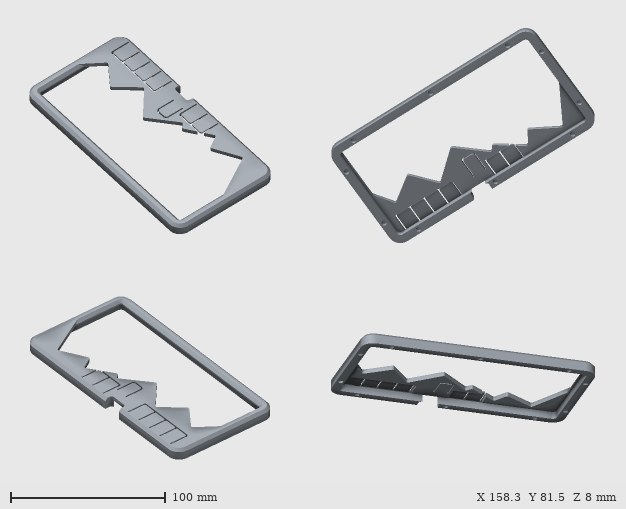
import cadquery as cq

length = 158.3
width = 81.5
height = 8.0
corner_radius = 8.5
chamfer = 2.0

rim_width = 5.0
lip_width = rim_width + chamfer
cavity_wall = 5.65

plate_thickness = 3.0
plate_underside = height - plate_thickness
skyline_radius = 1.2
rim_x = length / 2 - rim_width
skyline_end_y = 0.6
skyline = [
    (-63.2, 16.3),
    (-45.8, 4.0),
    (-31.6, 20.75),
    (-11.65, 3.5),
    (8.3, 20.95),
    (11.5, 17.0),
    (30.3, 30.4),
    (36.5, 20.6),
    (56.3, 32.1),
]

slot_width = 1.0
tab_pitch = 11.0
tab_thickness = 1.0
tab_underside = height - tab_thickness
tab_corner_radius = 1.0
tab_root_y = 38.0
tab_end_y = 24.2
tab_rows = [(-68.75, 4), (1.15, 2)]

single_tab_x = -6.35
single_tab_width = 8.3
single_tab_root_y = 28.7
single_tab_end_y = 15.0
single_tab_radius = 1.7

notch_x = -11.65
notch_width = 14.1
notch_floor_y = width / 2 - cavity_wall
notch_radius = 2.0

hole_diameter = 3.4
hole_depth = 7.0
hole_inset = 3.0
hole_x = 60.2
hole_y = 21.8


def box(x_min, x_max, y_min, y_max, z_min, z_max):
    return (
        cq.Workplane("XY")
        .box(x_max - x_min, y_max - y_min, z_max - z_min, centered=False)
        .translate((x_min, y_min, z_min))
    )


def rounded_block(inset, z_min, z_max):
    """Block inset evenly from the outside of the frame, with concentric corners."""
    half_x = length / 2 - inset
    half_y = width / 2 - inset
    block = box(-half_x, half_x, -half_y, half_y, z_min, z_max)
    return block.edges("|Z").fillet(corner_radius - inset)


def make_frame():
    body = (
        cq.Workplane("XY")
        .box(length, width, height, centered=(True, True, False))
        .edges("|Z")
        .fillet(corner_radius)
        .faces(">Z")
        .chamfer(chamfer)
    )
    window = rounded_block(lip_width, plate_underside, height)
    cavity = rounded_block(cavity_wall, 0, plate_underside)
    rim_slope = (
        cq.Workplane("XY")
        .workplane(offset=height)
        .sketch()
        .rect(length - 2 * rim_width, width - 2 * rim_width)
        .vertices()
        .fillet(corner_radius - rim_width)
        .finalize()
        .extrude(-chamfer, taper=45)
    )
    return body.cut(window).cut(rim_slope).cut(cavity)


def make_plate():
    back_y = width / 2 - rim_width
    outline = [(-rim_x, back_y), (-rim_x, skyline_end_y)] + skyline
    outline += [(rim_x, skyline_end_y), (rim_x, back_y)]
    plate = cq.Workplane("XY").workplane(offset=plate_underside).polyline(outline).close()
    plate = plate.extrude(plate_thickness)
    for x, y in skyline:
        corner = cq.selectors.NearestToPointSelector((x, y, height - plate_thickness / 2))
        plate = plate.edges("|Z").edges(corner).fillet(skyline_radius)
    return plate


def tab_row_cut(first_slot_x, tab_count):
    left = first_slot_x - slot_width / 2
    right = left + tab_count * tab_pitch + slot_width
    front = tab_end_y - slot_width
    outline = box(left, right, front, tab_root_y, plate_underside, height)
    outline = outline.edges("|Z and <Y").fillet(tab_corner_radius + slot_width / 2)
    root_slope = (
        cq.Workplane("YZ")
        .workplane(offset=left)
        .moveTo(tab_root_y, tab_underside)
        .lineTo(tab_root_y, plate_underside)
        .lineTo(tab_root_y - (tab_underside - plate_underside), plate_underside)
        .close()
        .extrude(right - left)
    )
    cut = outline.cut(root_slope)
    for i in range(tab_count):
        tab_left = left + slot_width + i * tab_pitch
        tab_right = tab_left + tab_pitch - slot_width
        tab = box(tab_left, tab_right, tab_end_y, tab_root_y, tab_underside, height)
        cut = cut.cut(tab.edges("|Z and <Y").fillet(tab_corner_radius))
    return cut


def single_tab_slot():
    half = single_tab_width / 2
    left = single_tab_x - half
    right = single_tab_x + half
    tab = box(left, right, single_tab_end_y, single_tab_root_y, plate_underside, height)
    tab = tab.edges("|Z and <Y").fillet(single_tab_radius)
    surround = box(
        left - slot_width,
        right + slot_width,
        single_tab_end_y - slot_width,
        single_tab_root_y,
        plate_underside,
        height,
    )
    surround = surround.edges("|Z and <Y").fillet(single_tab_radius + slot_width)
    return surround.cut(tab)


def notch():
    half = notch_width / 2
    cut = box(notch_x - half, notch_x + half, notch_floor_y, width / 2, 0, height)
    return cut.edges("|Z and <Y").fillet(notch_radius)


def blind_holes():
    edge_x = length / 2 - hole_inset
    edge_y = width / 2 - hole_inset
    centres = [(x, y) for x in (-hole_x, 0, hole_x) for y in (-edge_y, edge_y)]
    centres += [(x, y) for x in (-edge_x, edge_x) for y in (-hole_y, hole_y)]
    return cq.Workplane("XY").pushPoints(centres).circle(hole_diameter / 2).extrude(hole_depth)


result = make_frame().union(make_plate())
for first_slot_x, tab_count in tab_rows:
    result = result.cut(tab_row_cut(first_slot_x, tab_count))
result = result.cut(single_tab_slot()).cut(notch()).cut(blind_holes())